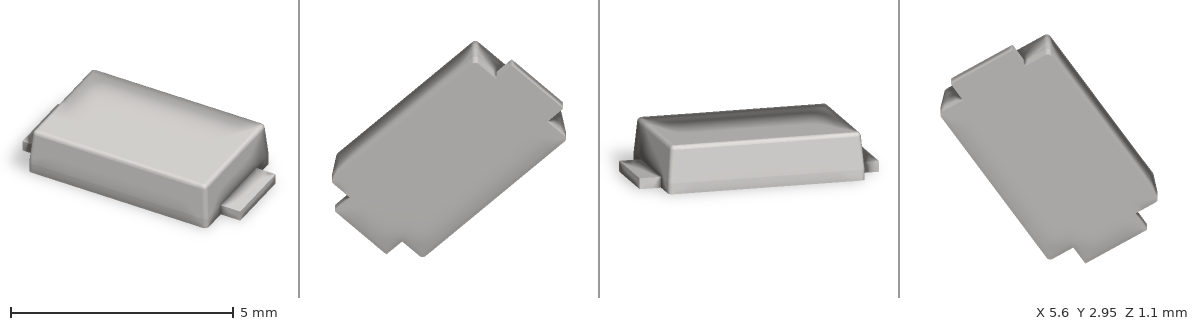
import cadquery as cq
import math

lead_length = 5.6
lead_width = 1.645
lead_thickness = 0.25

housing_length = 4.6
housing_width = 2.95
housing_height = 1.1
draft_angle = 5.0
corner_radius = 0.1
rim_radius = 0.095

band_width = 0.46
band_center_x = 1.53
band_depth = 0.02

taper_height = housing_height - lead_thickness
top_inset = taper_height * math.tan(math.radians(draft_angle))
edge_setback = rim_radius * math.tan(math.radians((90 - draft_angle) / 2))
band_length = housing_width - 2 * (top_inset + edge_setback)


def make_lead():
    return cq.Workplane("XY").box(
        lead_length, lead_width, lead_thickness, centered=(True, True, False)
    )


def make_band():
    return (
        cq.Workplane("XY", origin=(band_center_x, 0, housing_height - band_depth))
        .rect(band_width, band_length)
        .extrude(band_depth)
    )


def rounded_outline(length, width, height):
    outline = cq.Sketch().rect(length, width).vertices().fillet(corner_radius)
    return outline.moved(cq.Location(cq.Vector(0, 0, height)))


def make_housing(lead, band):
    lower_outline = rounded_outline(housing_length, housing_width, 0)
    shoulder_outline = rounded_outline(housing_length, housing_width, lead_thickness)
    top_outline = rounded_outline(
        housing_length - 2 * top_inset, housing_width - 2 * top_inset, housing_height
    )
    base = cq.Workplane("XY").placeSketch(lower_outline).extrude(lead_thickness)
    upper = cq.Workplane("XY").placeSketch(shoulder_outline, top_outline).loft(ruled=True)
    rounded = base.union(upper).faces(">Z").edges().fillet(rim_radius)
    return rounded.cut(lead).cut(band)


lead = make_lead()
band = make_band()
housing = make_housing(lead, band)

result = cq.Compound.makeCompound([housing.val(), lead.val(), band.val()])